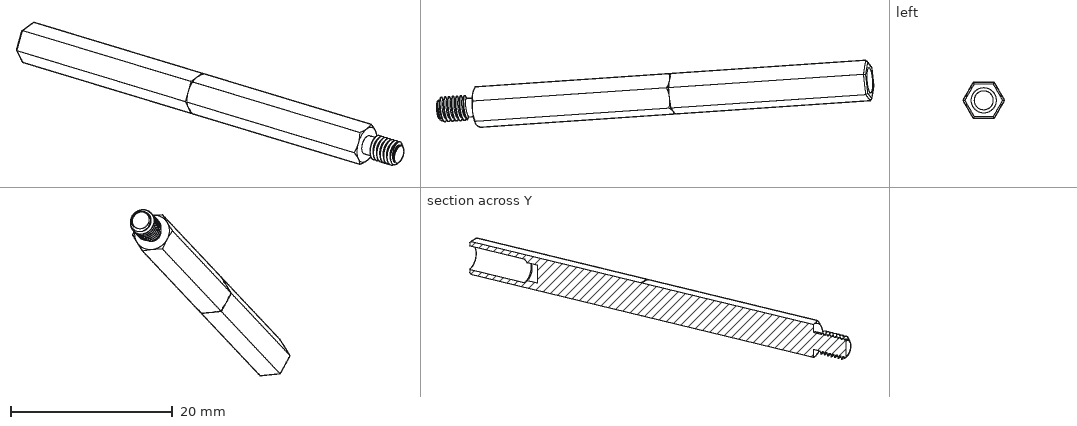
import cadquery as cq
import math

total_length = 54.7
across_flats = 4.5
body_length = 49.95
hex_joint = body_length / 2
across_corners = across_flats / math.cos(math.radians(30))

entry_bevel = 0.2
corner_chamfer_angle = 30.0

minor_diameter = 2.35
major_diameter = 3.1
bore_depth = 8.0
pilot_depth = 9.85

stud_length = total_length - body_length
thread_pitch = 0.5
ridge_start = 1.1
crest_width = 0.05
root_width = 0.4
root_overlap = 0.05
tip_diameter = 2.2
trim_margin = 0.15

minor_radius = minor_diameter / 2
major_radius = major_diameter / 2


def hex_prism(start, length):
    """Hexagonal bar along X with flats facing +Z and -Z."""
    return cq.Workplane("YZ", origin=(start, 0, 0)).polygon(6, across_corners).extrude(length)


def revolve_about_x(points):
    """Solid of revolution from an (x, radius) outline."""
    return cq.Workplane("XY").polyline(points).close().revolve(360, (0, 0, 0), (1, 0, 0))


def entry_half():
    """First half of the body, with a flat bevel around its free end."""
    return hex_prism(0, hex_joint).faces("<X").chamfer(entry_bevel)


def stud_half():
    """Second half of the body, its corners turned off conically at both ends."""
    flat_radius = across_flats / 2
    corner_radius = across_corners / 2
    cone_length = (corner_radius - flat_radius) * math.tan(math.radians(corner_chamfer_angle))
    turned_blank = revolve_about_x([
        (hex_joint, 0),
        (hex_joint, flat_radius),
        (hex_joint + cone_length, corner_radius),
        (body_length - cone_length, corner_radius),
        (body_length, flat_radius),
        (body_length, 0),
    ])
    return hex_prism(hex_joint, body_length - hex_joint).intersect(turned_blank)


def stepped_bore():
    """Blind hole with a 45 degree cone between its wide mouth and its narrow pilot."""
    cone_length = major_radius - minor_radius
    return revolve_about_x([
        (0, 0),
        (0, major_radius),
        (bore_depth, major_radius),
        (bore_depth + cone_length, minor_radius),
        (pilot_depth, minor_radius),
        (pilot_depth, 0),
    ])


def thread_ridge():
    """Right-handed helical ridge, its root sunk into the stud core and its end past the tip."""
    root_radius = minor_radius - root_overlap
    ridge_length = stud_length - ridge_start + thread_pitch
    profile = [
        (root_radius, -root_width / 2),
        (root_radius, root_width / 2),
        (major_radius, crest_width / 2),
        (major_radius, -crest_width / 2),
    ]
    edges = [
        cq.Wire.makeHelix(thread_pitch, ridge_length, radius).translate(cq.Vector(0, 0, offset))
        for radius, offset in profile
    ]
    next_edges = edges[1:] + edges[:1]
    faces = [cq.Face.makeRuledSurface(edge, following) for edge, following in zip(edges, next_edges)]
    first_corners = [edge.startPoint() for edge in edges]
    last_corners = [edge.endPoint() for edge in edges]
    for corners in (first_corners, last_corners):
        faces.append(cq.Face.makeFromWires(cq.Wire.makePolygon(corners, close=True)))
    ridge = cq.Solid.makeSolid(cq.Shell.makeShell(faces))

    along_x = cq.Workplane("XY").add(ridge).rotate((0, 0, 0), (0, 1, 0), 90)
    return along_x.translate((body_length + ridge_start, 0, 0))


def tip_trim():
    """Ring that chamfers the stud tip at 45 degrees and squares off the ridge end."""
    tip_radius = tip_diameter / 2
    outer_radius = major_radius + trim_margin
    far_end = total_length + 2 * thread_pitch
    return revolve_about_x([
        (total_length, 0),
        (total_length, tip_radius),
        (total_length - outer_radius + tip_radius, outer_radius),
        (far_end, outer_radius),
        (far_end, 0),
    ])


def threaded_stud():
    """Plain neck and core carrying the ridge, chamfered at the tip."""
    core = cq.Workplane("YZ", origin=(body_length, 0, 0)).circle(minor_radius).extrude(stud_length)
    return core.union(thread_ridge()).cut(tip_trim())


body = entry_half().union(stud_half()).cut(stepped_bore())
result = body.union(threaded_stud())